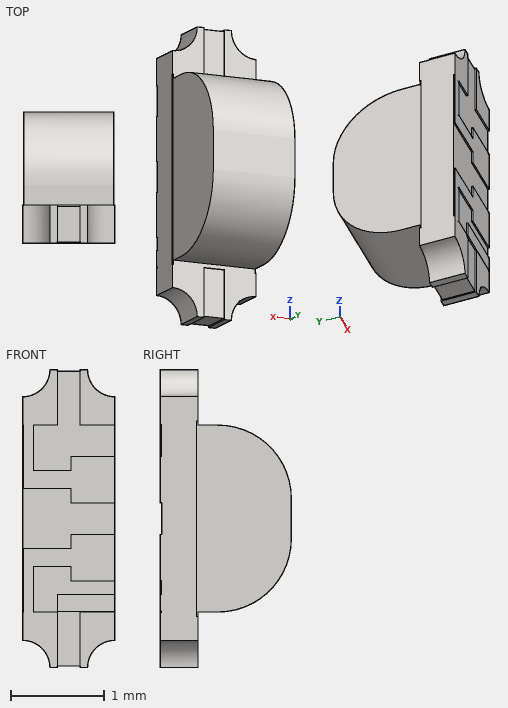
import cadquery as cq

length = 3.2
width = 0.99
board_depth = 0.41
corner_radius = 0.29
plating = 0.015
edge_gap = 0.01
half_length = length / 2
half_width = width / 2

lens_height = 1.0
lens_width = width - 2 * edge_gap
lens_half_length = 1.005
lens_radius = 0.79

slot_half_width = 0.12
clear_end = lens_half_length
island_left = -0.38
step_x = 0.025
island_inner_left = 0.515
island_inner_right = 0.67
centre_left = 0.323
centre_right = 0.17

bar_top = -0.813
bar_bottom = -0.995

back_layer_half_length = 1.05


def box(x0, x1, y0, y1, z0, z1):
    """Box between opposite corner coordinates."""
    return cq.Workplane("XY").box(x1 - x0, y1 - y0, z1 - z0, centered=False).translate((x0, y0, z0))


def front_clearance(points):
    """Shallow cut into the front copper over an outline of (x, z) points."""
    return cq.Workplane("XZ").polyline(points).close().extrude(-plating)


def make_board():
    board = box(-half_width, half_width, 0, board_depth, -half_length, half_length)
    corners = [(x, z) for x in (-half_width, half_width) for z in (-half_length, half_length)]
    scallops = cq.Workplane("XZ").pushPoints(corners).circle(corner_radius).extrude(-board_depth)
    return board.cut(scallops)


def clear_central_gap(board):
    return board.cut(front_clearance([
        (-half_width, -centre_left),
        (step_x, -centre_left),
        (step_x, -centre_right),
        (half_width, -centre_right),
        (half_width, centre_right),
        (step_x, centre_right),
        (step_x, centre_left),
        (-half_width, centre_left),
    ]))


def clear_end_features(board, side):
    """Clear the island, end slot and long edges at the end given by side (+1 top, -1 bottom)."""
    island = front_clearance([
        (island_left, side * island_inner_left),
        (step_x, side * island_inner_left),
        (step_x, side * island_inner_right),
        (half_width, side * island_inner_right),
        (half_width, side * clear_end),
        (island_left, side * clear_end),
    ])
    board = board.cut(island)

    def end_slot(y0, y1, inner_z):
        low, high = sorted((side * inner_z, side * half_length))
        return box(-slot_half_width, slot_half_width, y0, y1, low, high)

    board = board.cut(end_slot(0, plating, clear_end))
    board = board.cut(end_slot(board_depth - plating, board_depth, back_layer_half_length))
    board = board.cut(end_slot(0, board_depth, half_length - plating))

    low, high = sorted((side * centre_left, side * clear_end))
    return board.cut(box(-half_width, -half_width + edge_gap, 0, plating, low, high))


def clear_back_edges(board):
    for x0 in (-half_width, half_width - edge_gap):
        board = board.cut(box(
            x0, x0 + edge_gap,
            board_depth - plating, board_depth,
            -back_layer_half_length, back_layer_half_length,
        ))
    return board


def make_lens():
    lens = box(
        -lens_width / 2, lens_width / 2,
        board_depth, board_depth + lens_height,
        -lens_half_length, lens_half_length,
    )
    return lens.faces(">Y").edges("|X").fillet(lens_radius)


body = clear_central_gap(make_board())
for end in (1, -1):
    body = clear_end_features(body, end)
body = clear_back_edges(body)
polarity_bar = box(-slot_half_width, half_width, 0, plating, bar_bottom, bar_top)
result = body.union(polarity_bar).union(make_lens())